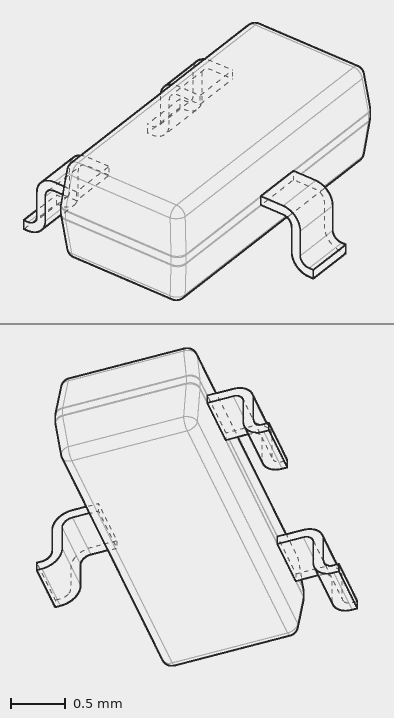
import cadquery as cq


housing_length = 3.0
housing_width = 1.4
overall_height = 1.15
standoff = 0.1
draft_angle = 6.0
edge_radius = 0.1

overall_width = 2.6
lead_thickness = 0.1
lead_width = 0.5
bend_inner_radius = 0.1
foot_flat = 0.05
lead_pitch = 1.9

bend_outer_radius = bend_inner_radius + lead_thickness
waist_height = lead_thickness
waist_middle = (overall_height + standoff) / 2
waist_top = waist_middle + waist_height / 2
waist_bottom = waist_middle - waist_height / 2
cap_height = overall_height - waist_top


def make_housing():
    """Straight waist with a drafted cap above and below, every edge rounded, also along the waist."""
    waist = (
        cq.Workplane("XY", origin=(0, 0, waist_bottom))
        .rect(housing_width, housing_length)
        .extrude(waist_height)
    )
    cap = (
        cq.Workplane("XY", origin=(0, 0, waist_top))
        .rect(housing_width, housing_length)
        .extrude(cap_height, taper=draft_angle)
    )
    lower_cap = cap.mirror("XY", (0, 0, waist_middle))
    block = waist.union(cap).union(lower_cap)
    return block.edges().fillet(edge_radius)


def make_lead(side, y_center):
    """S-bent strip from the waist face down to the foot; side is -1 for -X and +1 for +X."""
    tip = overall_width / 2
    foot_bend = tip - foot_flat
    shank_inner = foot_bend - bend_outer_radius
    shoulder_bend = shank_inner - bend_inner_radius
    shoulder_bend_z = waist_top - bend_outer_radius
    root = housing_width / 2

    def at(x, z):
        return side * x, z

    lead_profile = (
        cq.Workplane("XZ", origin=(0, y_center + lead_width / 2, 0))
        .moveTo(*at(root, waist_top))
        .lineTo(*at(shoulder_bend, waist_top))
        .radiusArc(at(shoulder_bend + bend_outer_radius, shoulder_bend_z), side * bend_outer_radius)
        .lineTo(*at(shank_inner + lead_thickness, bend_outer_radius))
        .radiusArc(at(foot_bend, lead_thickness), -side * bend_inner_radius)
        .lineTo(*at(tip, lead_thickness))
        .lineTo(*at(tip, 0))
        .lineTo(*at(foot_bend, 0))
        .radiusArc(at(shank_inner, bend_outer_radius), side * bend_outer_radius)
        .lineTo(*at(shank_inner, shoulder_bend_z))
        .radiusArc(at(shoulder_bend, waist_bottom), -side * bend_inner_radius)
        .lineTo(*at(root, waist_bottom))
        .close()
    )
    return lead_profile.extrude(lead_width)


lead_places = [
    (-1, -lead_pitch / 2),
    (-1, lead_pitch / 2),
    (1, 0),
]

housing = make_housing()
leads = [make_lead(side, y_center) for side, y_center in lead_places]

result = cq.Compound.makeCompound([housing.val(), *[lead.val() for lead in leads]])